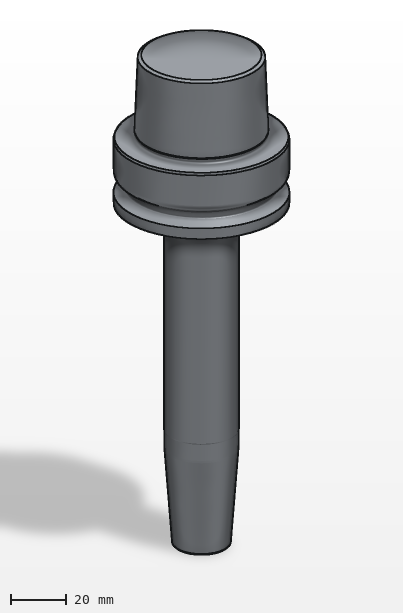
import cadquery as cq
import math

total_height = 191.9
flange_top = 159.9
flange_thickness = 26.0
flange_bottom = flange_top - flange_thickness

cone_top_radius = 22.8
cone_base_radius = 24.0
cone_base_height = 2.5
cone_edge_width = 1.3
cone_edge_height = 0.8
neck_radius = 23.6
neck_step_height = 0.5
neck_fillet = 1.3

flange_radius = 31.5
flange_edge_width = 0.4
flange_edge_height = 1.0
groove_floor_radius = 27.5
groove_floor_bottom = 140.5
groove_floor_top = 143.0
groove_wall_angle = math.radians(30)
groove_edge_radius = 2.9
groove_floor_fillet = 0.8

shank_radius = 13.5
shank_fillet = 10.2
collar_top = 45.3
collar_step = 0.1
collar_step_height = 0.4
taper_top = 38.5
taper_blend_height = 1.0
tip_radius = 10.5
tip_chamfer = 0.8


def cut_groove(body):
    """Cut the groove, with a sharp lower edge, rounded upper edge and filleted floor."""
    wall_slope = math.tan(groove_wall_angle)
    lower_edge_z = groove_floor_bottom - (flange_radius - groove_floor_radius) * wall_slope

    turn = math.pi / 2 - groove_wall_angle
    round_center_r = flange_radius - groove_edge_radius
    wall_end_r = round_center_r + groove_edge_radius * math.cos(turn)
    wall_end_z = groove_floor_top + (wall_end_r - groove_floor_radius) * wall_slope
    round_center_z = wall_end_z + groove_edge_radius * math.sin(turn)
    round_middle = (
        round_center_r + groove_edge_radius * math.cos(turn / 2),
        round_center_z - groove_edge_radius * math.sin(turn / 2),
    )
    floor_circles = cq.selectors.RadiusNthSelector(1)
    groove = (
        cq.Workplane("XZ")
        .moveTo(flange_radius, lower_edge_z)
        .lineTo(groove_floor_radius, groove_floor_bottom)
        .lineTo(groove_floor_radius, groove_floor_top)
        .lineTo(wall_end_r, wall_end_z)
        .threePointArc(round_middle, (flange_radius, round_center_z))
        .close()
        .revolve(360, (0, 0), (0, 1))
        .edges(floor_circles)
        .fillet(groove_floor_fillet)
    )
    return body.cut(groove)


def turned_body():
    """Revolve the outer profile from the tip up to the top of the cone."""
    collar_radius = shank_radius - collar_step
    taper_angle = math.atan((collar_radius - tip_radius) / taper_top)
    blend_inset = taper_blend_height * math.tan(taper_angle / 2)
    blend_end = (collar_radius - blend_inset, taper_top - taper_blend_height)

    quarter_bulge = 1 - math.sqrt(0.5)
    shank_arc_middle = (
        shank_radius + shank_fillet * quarter_bulge,
        flange_bottom - shank_fillet * quarter_bulge,
    )
    neck_arc_middle = (
        neck_radius + neck_fillet * quarter_bulge,
        flange_top + neck_fillet * quarter_bulge,
    )
    cone_base = flange_top + cone_base_height

    return (
        cq.Workplane("XZ")
        .moveTo(0, 0)
        .lineTo(tip_radius - tip_chamfer, 0)
        .lineTo(tip_radius, tip_chamfer)
        .lineTo(*blend_end)
        .tangentArcPoint((collar_radius, taper_top), relative=False)
        .lineTo(collar_radius, collar_top - collar_step_height)
        .lineTo(shank_radius, collar_top)
        .lineTo(shank_radius, flange_bottom - shank_fillet)
        .threePointArc(shank_arc_middle, (shank_radius + shank_fillet, flange_bottom))
        .lineTo(flange_radius, flange_bottom)
        .lineTo(flange_radius, flange_top - flange_edge_height)
        .lineTo(flange_radius - flange_edge_width, flange_top)
        .lineTo(neck_radius + neck_fillet, flange_top)
        .threePointArc(neck_arc_middle, (neck_radius, flange_top + neck_fillet))
        .lineTo(neck_radius, cone_base - neck_step_height)
        .lineTo(cone_base_radius, cone_base)
        .lineTo(cone_top_radius, total_height - cone_edge_height)
        .lineTo(cone_top_radius - cone_edge_width, total_height)
        .lineTo(0, total_height)
        .close()
        .revolve(360, (0, 0), (0, 1))
    )


result = cut_groove(turned_body())